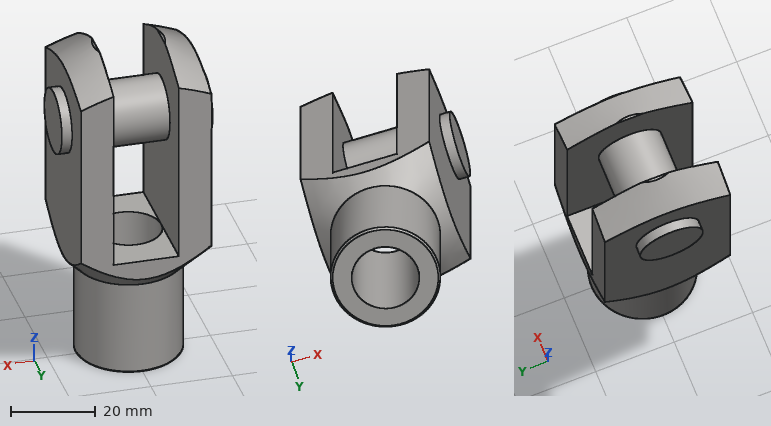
import math

import cadquery as cq

total_height = 83.0
head_width = 32.0
shank_diameter = 26.0
shank_length = 24.0
shank_chamfer = 0.5

lower_cone_angle = 45.0
upper_cone_angle = 30.0
top_flat_radius = 8.7

slot_width = head_width / 2
slot_floor_height = 32.0

bore_diameter = 16.0

pin_diameter = 16.0
pin_length = 37.0
pin_height = 64.0


def turned_envelope():
    """Solid of revolution that bounds the shank and trims the head corners."""
    shank_radius = shank_diameter / 2
    outer_radius = head_width * math.sqrt(2) / 2 + 1
    lower_rise = (outer_radius - shank_radius) * math.tan(math.radians(lower_cone_angle))
    upper_drop = (outer_radius - top_flat_radius) * math.tan(math.radians(upper_cone_angle))
    return (
        cq.Workplane("XZ")
        .moveTo(0, 0)
        .lineTo(shank_radius - shank_chamfer, 0)
        .lineTo(shank_radius, shank_chamfer)
        .lineTo(shank_radius, shank_length)
        .lineTo(outer_radius, shank_length + lower_rise)
        .lineTo(outer_radius, total_height - upper_drop)
        .lineTo(top_flat_radius, total_height)
        .lineTo(0, total_height)
        .close()
        .revolve(360, (0, 0), (0, 1))
    )


def square_bar():
    """Square bar over the full height of the fork."""
    return cq.Workplane("XY").rect(head_width, head_width).extrude(total_height)


def fork_slot():
    """Cutter for the gap between the two fork arms."""
    slot_depth = total_height - slot_floor_height
    return (
        cq.Workplane("XY")
        .workplane(offset=slot_floor_height)
        .rect(slot_width, head_width)
        .extrude(slot_depth)
    )


def shank_bore():
    """Cutter for the axial bore that opens into the slot."""
    return cq.Workplane("XY").circle(bore_diameter / 2).extrude(slot_floor_height)


def cross_pin():
    """Pin through both arms, standing out equally on each side."""
    return (
        cq.Workplane("YZ")
        .center(0, pin_height)
        .circle(pin_diameter / 2)
        .extrude(pin_length / 2, both=True)
    )


fork = square_bar().intersect(turned_envelope()).cut(fork_slot()).cut(shank_bore())
result = fork.union(cross_pin())